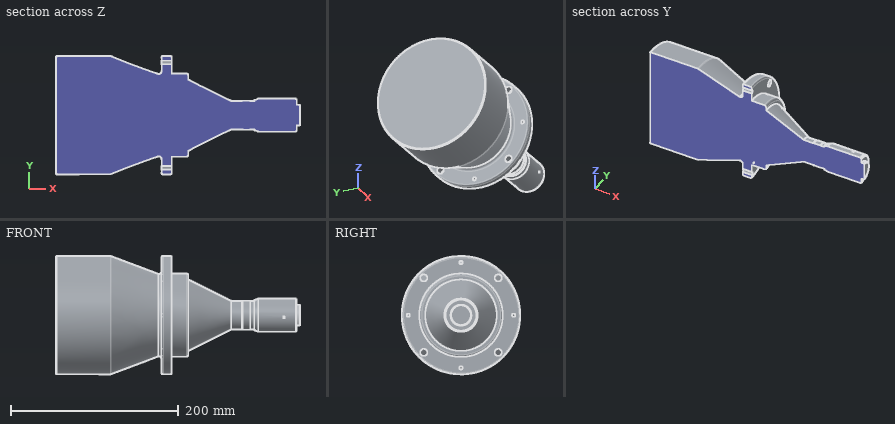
import cadquery as cq
import math

barrel_end = 65.3
neck_start = 122.5
flange_start = 126.2
flange_thickness = 12.6
flange_end = flange_start + flange_thickness
collar_end = 158.6
rear_cone_end = 208.6
stem_start = 209.6
stem_band_start = 222.4
stem_band_end = 232.2
stem_end = 237.4
flare_end = 242.2
mount_end = 288.3
total_length = 292.1

barrel_radius = 71.0
neck_radius = 49.5
flange_radius = barrel_radius
collar_radius = 50.0
rear_cone_large_radius = 42.8
rear_cone_small_radius = 17.8
stem_radius = 17.2
stem_band_radius = 17.5
flare_start_radius = 18.2
mount_radius = 20.0
spigot_radius = 12.6

barrel_chamfer = 1.0
barrel_rear_fillet = 3.0
neck_fillet = 3.0
flange_fillet = 2.0
collar_fillet = 2.8
stem_band_chamfer_length = 0.9
mount_chamfer = 1.5
spigot_chamfer = 0.8

bolt_circle_radius = 63.0
bolt_hole_diameter = 8.5
bolt_hole_angle = 45
dowel_hole_diameter = 4.0
dowel_hole_angle = 0
holes_per_set = 4

set_screw_x = 272.7
set_screw_diameter = 2.0
set_screw_depth = 3.0
set_screw_count = 3
set_screw_first_angle = 68.0


def make_body():
    """Revolve the half profile (X, radius) of the lens about the X axis."""
    half_profile = [
        (0, 0),
        (0, barrel_radius - barrel_chamfer),
        (barrel_chamfer, barrel_radius),
        (barrel_end, barrel_radius),
        (neck_start, neck_radius),
        (flange_start, neck_radius),
        (flange_start, flange_radius),
        (flange_end, flange_radius),
        (flange_end, collar_radius),
        (collar_end, collar_radius),
        (collar_end, rear_cone_large_radius),
        (rear_cone_end, rear_cone_small_radius),
        (stem_start, stem_radius),
        (stem_band_start, stem_radius),
        (stem_band_start + stem_band_chamfer_length, stem_band_radius),
        (stem_band_end, stem_band_radius),
        (stem_band_end, stem_radius),
        (stem_end, stem_radius),
        (stem_end, flare_start_radius),
        (flare_end, mount_radius),
        (mount_end - mount_chamfer, mount_radius),
        (mount_end, mount_radius - mount_chamfer),
        (mount_end, spigot_radius),
        (total_length - spigot_chamfer, spigot_radius),
        (total_length, spigot_radius - spigot_chamfer),
        (total_length, 0),
    ]
    return cq.Workplane("XZ").polyline(half_profile).close().revolve(360, (0, 0, 0), (1, 0, 0))


def round_circle(body, x, circle_radius, fillet_radius):
    """Fillet the circular edge of the given radius at station x."""
    tolerance = 1e-3

    def is_wanted(edge):
        if edge.geomType() != "CIRCLE":
            return False
        same_station = abs(edge.arcCenter().x - x) < tolerance
        return same_station and abs(edge.radius() - circle_radius) < tolerance

    return body.edges().filter(is_wanted).fillet(fillet_radius)


def make_flange_holes(diameter, first_angle):
    """Four equally spaced through holes in the flange."""
    return (
        cq.Workplane("YZ", origin=(flange_start, 0, 0))
        .polarArray(bolt_circle_radius, first_angle, 360, holes_per_set)
        .circle(diameter / 2)
        .extrude(flange_thickness)
    )


def make_set_screw_hole(angle):
    """One blind radial hole; the cutter starts at the hole floor and ends outside the mount."""
    angle = math.radians(angle)
    outward = cq.Vector(0, math.cos(angle), math.sin(angle))
    floor = cq.Vector(set_screw_x, 0, 0) + outward * (mount_radius - set_screw_depth)
    cutter_length = 2 * set_screw_depth
    return cq.Solid.makeCylinder(set_screw_diameter / 2, cutter_length, floor, outward)


result = make_body()

result = round_circle(result, barrel_end, barrel_radius, barrel_rear_fillet)
result = round_circle(result, flange_start, neck_radius, neck_fillet)
result = round_circle(result, flange_start, flange_radius, flange_fillet)
result = round_circle(result, flange_end, flange_radius, flange_fillet)
result = round_circle(result, collar_end, collar_radius, collar_fillet)

result = result.cut(make_flange_holes(bolt_hole_diameter, bolt_hole_angle))
result = result.cut(make_flange_holes(dowel_hole_diameter, dowel_hole_angle))

for i in range(set_screw_count):
    result = result.cut(make_set_screw_hole(set_screw_first_angle + i * 360 / set_screw_count))